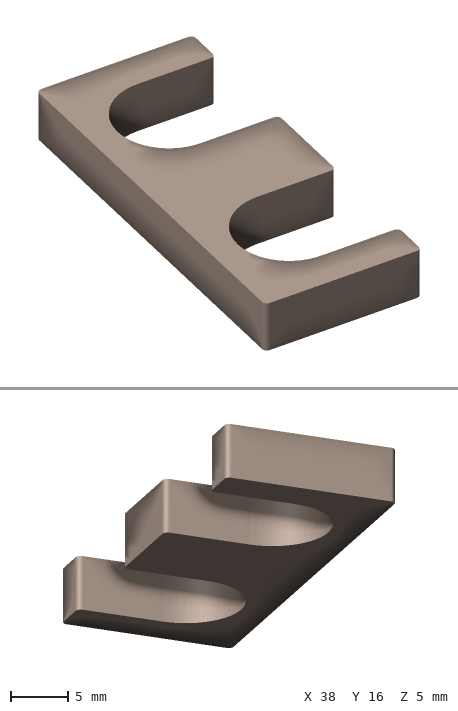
import cadquery as cq

length = 38.0
depth = 16.0
thickness = 5.0
slot_width = 10.5
slot_spacing = 20.0
corner_radius = 0.5

slot_radius = slot_width / 2
back_edge = depth / 2


def slot_cutter(center_x):
    """U-shaped slot, open at +Y, with its round end centred on the X axis."""
    return (
        cq.Workplane("XY")
        .moveTo(center_x - slot_radius, back_edge)
        .lineTo(center_x - slot_radius, 0)
        .threePointArc((center_x, -slot_radius), (center_x + slot_radius, 0))
        .lineTo(center_x + slot_radius, back_edge)
        .close()
        .extrude(thickness)
    )


plate = cq.Workplane("XY").box(length, depth, thickness, centered=(True, True, False))

for side in (-1, 1):
    plate = plate.cut(slot_cutter(side * slot_spacing / 2))

outer_corners = plate.faces("<Y").edges("|Z")
prong_corners = plate.faces(">Y").edges("|Z")
result = plate.newObject(outer_corners.vals() + prong_corners.vals()).fillet(corner_radius)